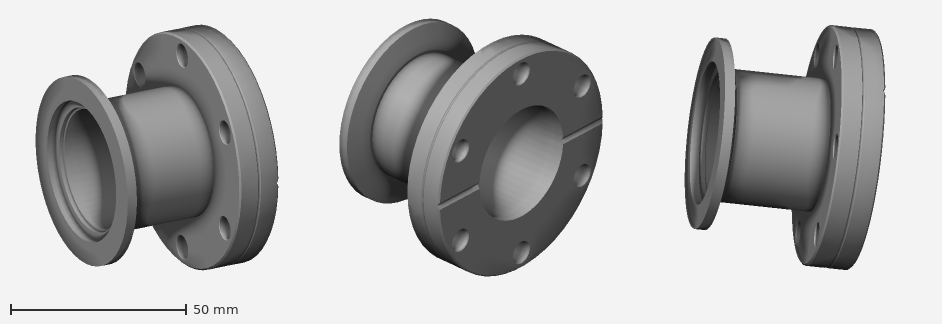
import cadquery as cq
import math

total_length = 45.3

clamp_diameter = 55.0
clamp_rim_thickness = 3.0
clamp_thickness = 5.0
clamp_taper_angle = 15.0
clamp_bore = 36.4
seal_recess_diameter = 41.2
seal_recess_depth = 2.6

tube_outer_diameter = 38.2
tube_inner_diameter = 35.0
tube_start = 3.9

flange_diameter = 69.1
flange_thickness = 12.7
flange_chamfer = 0.5
flange_front = total_length - flange_thickness

rim_groove_width = 0.9
rim_groove_depth = 0.3
rim_groove_centre = flange_front + flange_thickness / 2

bolt_count = 6
bolt_circle_diameter = 58.75
bolt_hole_diameter = 6.7
bolt_hole_chamfer = 0.2

channel_width = 2.3
channel_depth = 0.75


def cylinder(diameter, start, length):
    """Cylinder around the Y axis, from Y = start to Y = start + length."""
    return cq.Workplane("XZ", origin=(0, start, 0)).circle(diameter / 2).extrude(-length)


def make_clamp_flange():
    rim_radius = clamp_diameter / 2
    taper_height = clamp_thickness - clamp_rim_thickness
    taper_end_radius = rim_radius - taper_height / math.tan(math.radians(clamp_taper_angle))
    body = (
        cq.Workplane("XY")
        .moveTo(0, 0)
        .lineTo(rim_radius, 0)
        .lineTo(rim_radius, clamp_rim_thickness)
        .lineTo(taper_end_radius, clamp_thickness)
        .lineTo(0, clamp_thickness)
        .close()
        .revolve(360, (0, 0, 0), (0, 1, 0))
    )
    bore = cylinder(clamp_bore, 0, clamp_thickness)
    seal_recess = cylinder(seal_recess_diameter, 0, seal_recess_depth)
    tube_socket = cylinder(tube_outer_diameter, tube_start, clamp_thickness - tube_start)
    return body.cut(bore).cut(seal_recess).cut(tube_socket)


def make_tube():
    tube_length = flange_front - tube_start
    outside = cylinder(tube_outer_diameter, tube_start, tube_length)
    return outside.cut(cylinder(tube_inner_diameter, tube_start, tube_length))


def make_flange_disc():
    """Chamfered disc whose rim carries the rounded groove."""
    radius = flange_diameter / 2
    return (
        cq.Workplane("XY")
        .moveTo(0, flange_front)
        .lineTo(radius - flange_chamfer, flange_front)
        .lineTo(radius, flange_front + flange_chamfer)
        .lineTo(radius, rim_groove_centre - rim_groove_width / 2)
        .threePointArc(
            (radius - rim_groove_depth, rim_groove_centre),
            (radius, rim_groove_centre + rim_groove_width / 2),
        )
        .lineTo(radius, total_length - flange_chamfer)
        .lineTo(radius - flange_chamfer, total_length)
        .lineTo(0, total_length)
        .close()
        .revolve(360, (0, 0, 0), (0, 1, 0))
    )


def make_bolt_hole():
    """Cutter for one bolt hole on the Y axis, with both ends chamfered."""
    radius = bolt_hole_diameter / 2
    mouth_radius = radius + bolt_hole_chamfer
    return (
        cq.Workplane("XY")
        .moveTo(0, flange_front)
        .lineTo(mouth_radius, flange_front)
        .lineTo(radius, flange_front + bolt_hole_chamfer)
        .lineTo(radius, total_length - bolt_hole_chamfer)
        .lineTo(mouth_radius, total_length)
        .lineTo(0, total_length)
        .close()
        .revolve(360, (0, 0, 0), (0, 1, 0))
    )


def make_leak_channel():
    return (
        cq.Workplane("YZ", origin=(-flange_diameter / 2, 0, 0))
        .moveTo(total_length, -channel_width / 2)
        .lineTo(total_length - channel_depth, 0)
        .lineTo(total_length, channel_width / 2)
        .close()
        .extrude(flange_diameter)
    )


def make_bolted_flange():
    flange = make_flange_disc().cut(cylinder(tube_inner_diameter, flange_front, flange_thickness))
    hole = make_bolt_hole().translate((0, 0, bolt_circle_diameter / 2))
    for index in range(bolt_count):
        flange = flange.cut(hole.rotate((0, 0, 0), (0, 1, 0), index * 360 / bolt_count))
    return flange.cut(make_leak_channel())


clamp_flange = make_clamp_flange()
tube = make_tube()
bolted_flange = make_bolted_flange()

result = cq.Compound.makeCompound([clamp_flange.val(), tube.val(), bolted_flange.val()])